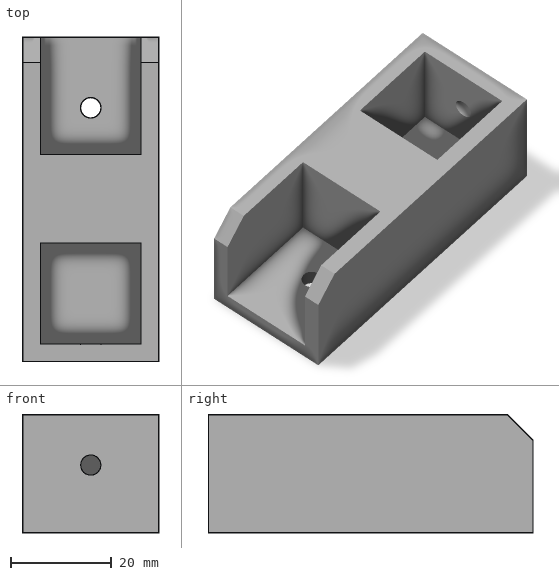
import cadquery as cq

length = 64.5
height = 23.5
wall = 3.5
pocket_size = 20.05
slot_length = 23.35
chamfer = 5.0
hole_diameter = 4.0
floor_hole_from_back = 14.05

width = pocket_size + 2 * wall
pocket_depth = height - wall
pocket_center_y = wall + pocket_size / 2
slot_center_y = length - slot_length / 2
wall_hole_z = wall + pocket_depth / 2


def cavity(size_y, center_y):
    """Rectangular cavity open at the top, leaving the floor below it."""
    return (
        cq.Workplane("XY", origin=(0, center_y, wall))
        .rect(pocket_size, size_y)
        .extrude(pocket_depth)
    )


block = cq.Workplane("XY").box(width, length, height, centered=(True, False, False))
block = block.edges(">Y and >Z").chamfer(chamfer)

block = block.cut(cavity(pocket_size, pocket_center_y))
block = block.cut(cavity(slot_length, slot_center_y))

floor_hole = (
    cq.Workplane("XY", origin=(0, length - floor_hole_from_back, 0))
    .circle(hole_diameter / 2)
    .extrude(wall)
)

wall_hole = (
    cq.Workplane("XZ", origin=(0, 0, wall_hole_z))
    .circle(hole_diameter / 2)
    .extrude(-wall)
)

result = block.cut(floor_hole).cut(wall_hole)